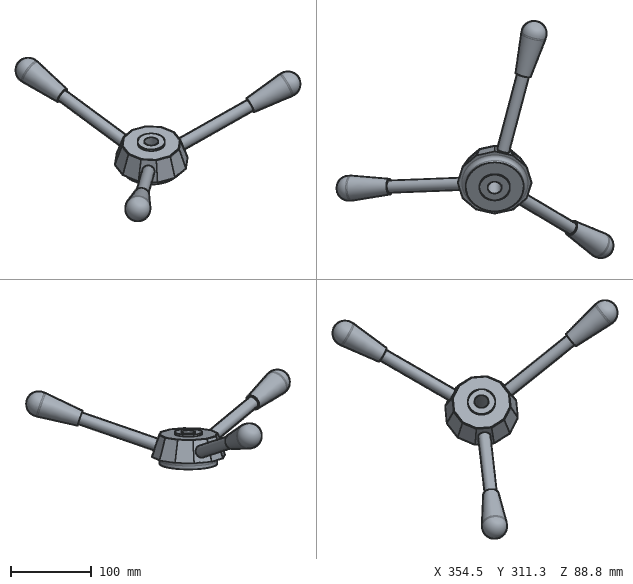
import cadquery as cq
import math

side_count = 12
hub_base_across_flats = 88.5
hub_rim_across_flats = 71.3
hub_top_across_flats = 69.0
hub_base_z = 11.7
hub_top_z = 39.5
hub_rim_bevel_height = 0.5

bottom_boss_diameter = 38.0
flange_diameter = 72.0
flange_bottom_z = 1.8
neck_fillet_radius = 5.0
top_boss_diameter = 34.0
top_boss_z = 42.0
bore_diameter = 17.5

arm_count = 3
first_arm_angle = 90
arm_tilt = 18.2
arm_axis_z = 11.7
rod_diameter = 15.5
rod_start = 28.5

ball_reach = 186.5
ball_diameter = 31.5
ball_cut_offset = 1.8
band_width = 1.8
grip_length = 54.2
grip_end_radius = 10.0


def make_twelve_sided_taper(lower_across_flats, upper_across_flats, lower_z, upper_z):
    """Tapered twelve-sided block with flats facing +X and +Y."""
    flat_to_corner = 1 / math.cos(math.pi / side_count)
    half_side_turn = 180 / side_count
    return (
        cq.Workplane("XY")
        .workplane(offset=lower_z)
        .transformed(rotate=(0, 0, half_side_turn))
        .polygon(side_count, lower_across_flats * flat_to_corner)
        .workplane(offset=upper_z - lower_z)
        .polygon(side_count, upper_across_flats * flat_to_corner)
        .loft(ruled=True, combine=True)
    )


def make_hub():
    """Tapered body with a shallow bevel around its top rim."""
    rim_z = hub_top_z - hub_rim_bevel_height
    body = make_twelve_sided_taper(hub_base_across_flats, hub_rim_across_flats, hub_base_z, rim_z)
    bevel = make_twelve_sided_taper(hub_rim_across_flats, hub_top_across_flats, rim_z, hub_top_z)
    return body.union(bevel)


def make_round_core():
    """Bottom boss, flange flaring into the hub, and top boss, as one turned profile."""
    flange_radius = flange_diameter / 2
    flare_start_z = hub_base_z - neck_fillet_radius
    flare_radius = flange_radius + neck_fillet_radius
    arc_inset = neck_fillet_radius * math.sqrt(0.5)
    flare_middle = (flare_radius - arc_inset, flare_start_z + arc_inset)
    return (
        cq.Workplane("XZ")
        .lineTo(bottom_boss_diameter / 2, 0)
        .lineTo(bottom_boss_diameter / 2, flange_bottom_z)
        .lineTo(flange_radius, flange_bottom_z)
        .lineTo(flange_radius, flare_start_z)
        .threePointArc(flare_middle, (flare_radius, hub_base_z))
        .lineTo(top_boss_diameter / 2, hub_base_z)
        .lineTo(top_boss_diameter / 2, top_boss_z)
        .lineTo(0, top_boss_z)
        .close()
        .revolve(360, (0, 0, 0), (0, 1, 0))
    )


def make_arm():
    """Rod and knob turned about the X axis, then tilted and lifted into place."""
    ball_center = ball_reach / math.cos(math.radians(arm_tilt))
    ball_cut = ball_center - ball_cut_offset
    ball_radius = ball_diameter / 2
    band_radius = math.sqrt(ball_radius**2 - ball_cut_offset**2)
    grip_start = ball_cut - band_width
    grip_end = ball_center - grip_length
    arc_step = ball_radius * math.sqrt(0.5)
    profile = (
        cq.Workplane("XY")
        .moveTo(rod_start, 0)
        .lineTo(rod_start, rod_diameter / 2)
        .lineTo(grip_end, rod_diameter / 2)
        .lineTo(grip_end, grip_end_radius)
        .lineTo(grip_start, band_radius)
        .lineTo(ball_cut, band_radius)
        .threePointArc((ball_center + arc_step, arc_step), (ball_center + ball_radius, 0))
        .close()
    )
    arm = profile.revolve(360, (0, 0, 0), (1, 0, 0))
    return arm.rotate((0, 0, 0), (0, 1, 0), -arm_tilt).translate((0, 0, arm_axis_z))


part = make_hub().union(make_round_core())
arm = make_arm()
for index in range(arm_count):
    angle = first_arm_angle + index * 360 / arm_count
    part = part.union(arm.rotate((0, 0, 0), (0, 0, 1), angle))

bore = cq.Workplane("XY").circle(bore_diameter / 2).extrude(top_boss_z)
result = part.cut(bore)